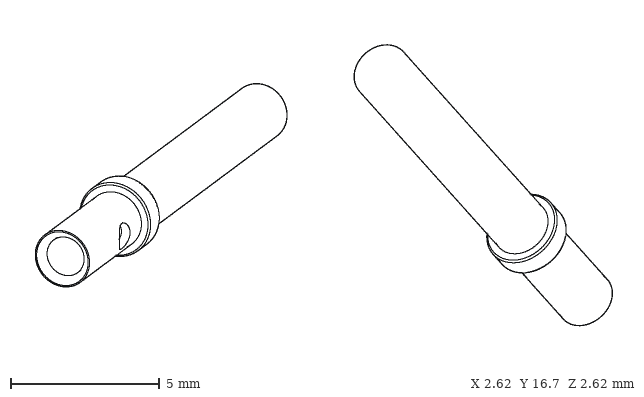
import cadquery as cq
import math

length = 16.66
pin_radius = 1.0
tip_fillet = 0.2

collar_radius = 1.308
collar_start = 4.33
collar_width = 0.87
collar_chamfer = 0.07

bore_radius = 0.68
bore_depth = 4.0
mouth_radius = 0.95
mouth_depth = 0.27
drill_point_angle = 118.0

inspection_radius = 0.45
inspection_from_mouth = 2.93


def cylinder_along_y(radius, start, height):
    """Solid cylinder on the pin axis, running towards +Y from start."""
    plane = cq.Workplane("XZ", origin=(0, start, 0))
    return plane.circle(radius).extrude(-height)


def make_bore(mouth_y):
    """Revolved cutter for the flare, the straight bore and the drill point."""
    point_length = bore_radius / math.tan(math.radians(drill_point_angle / 2))
    bore_end = mouth_y + bore_depth
    half_profile = (
        cq.Workplane("XY")
        .moveTo(0, mouth_y)
        .lineTo(mouth_radius, mouth_y)
        .lineTo(bore_radius, mouth_y + mouth_depth)
        .lineTo(bore_radius, bore_end)
        .lineTo(0, bore_end + point_length)
        .close()
    )
    return half_profile.revolve(360, (0, 0, 0), (0, 1, 0))


def make_inspection_hole(mouth_y):
    """Radial cutter from the pin axis out through the +X wall."""
    plane = cq.Workplane("YZ", origin=(0, mouth_y + inspection_from_mouth, 0))
    return plane.circle(inspection_radius).extrude(2 * pin_radius)


mouth_y = -length / 2

pin = cylinder_along_y(pin_radius, mouth_y, length).faces(">Y").edges().fillet(tip_fillet)
collar = cylinder_along_y(collar_radius, mouth_y + collar_start, collar_width)
collar = collar.edges("%CIRCLE").chamfer(collar_chamfer)

result = pin.union(collar).cut(make_bore(mouth_y)).cut(make_inspection_hole(mouth_y))